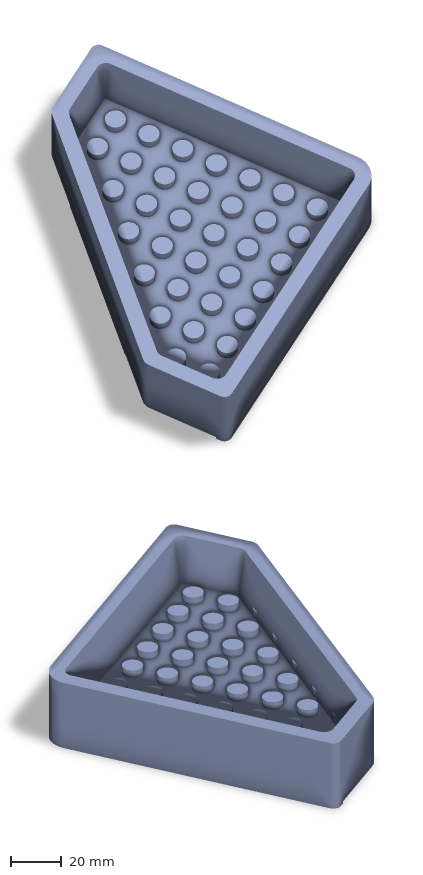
import cadquery as cq
import math

side = 127.0
height = 30.0
cut_leg = 89.9
back_radius = 10.0
tip_radius = 3.3
cut_radius = 5.0

wall = 6.3
floor_height = 9.6
cavity_radius = 3.9
wall_draft = 2.9

pin_diameter = 8.3
pin_height = 3.5
pin_pitch = 15.0
pin_count = 7
buried_diagonal = 8
last_pin = 108.7

recess_depth = 1.0
foot_width = 3.3
recess_radius = back_radius - foot_width
cut_foot_start = 18.5
tip_foot_length = 5.3


def corner_points(inset):
    """Corners of the footprint with every side moved inward by inset."""
    low = inset
    high = side - inset
    cut_end = cut_leg + inset * math.sqrt(2) - inset
    return [(cut_end, low), (high, low), (high, high), (low, high), (low, cut_end)]


def make_body():
    """Solid block with its three kinds of rounded corner."""
    body = cq.Workplane("XY").polyline(corner_points(0)).close().extrude(height)
    body = body.edges("|Z and >(1,1,0)").fillet(back_radius)
    body = body.edges("|Z and (>(1,-1,0) or <(1,-1,0))").fillet(tip_radius)
    return body.edges("|Z and <(1,1,0)").fillet(cut_radius)


def make_cavity():
    """Tapered pocket that narrows from the rim to the floor."""
    depth = height - floor_height
    draft_angle = math.degrees(math.atan2(wall_draft, depth))
    points = corner_points(wall)
    rim = cq.Sketch().polygon(points + points[:1]).vertices().fillet(cavity_radius)
    return cq.Workplane("XY", origin=(0, 0, height)).placeSketch(rim).extrude(-depth, taper=draft_angle)


def make_pins():
    """Triangular grid of pins; the row nearest the cut is partly buried in the wall."""
    centers = []
    for column in range(pin_count):
        for row in range(pin_count):
            if column + row > buried_diagonal:
                continue
            centers.append((last_pin - column * pin_pitch, last_pin - row * pin_pitch))
    pins = cq.Workplane("XY", origin=(0, 0, floor_height)).pushPoints(centers)
    return pins.circle(pin_diameter / 2).extrude(pin_height)


def make_recess():
    """Underside recess, running out through the walls at both ends of the cut."""
    recess = cq.Workplane("XY").polyline(corner_points(foot_width)).close().extrude(recess_depth)
    cut_foot_end = cut_leg - cut_foot_start
    opening_length = side - tip_foot_length - cut_foot_end
    for length, width, x, y in (
        (cut_foot_start, opening_length, 0, cut_foot_end),
        (opening_length, cut_foot_start, cut_foot_end, 0),
    ):
        opening = cq.Workplane("XY").box(length, width, recess_depth, centered=False)
        recess = recess.union(opening.translate((x, y, 0)))
    return recess.edges("|Z and >(1,1,0)").fillet(recess_radius)


result = make_body().cut(make_cavity()).union(make_pins()).cut(make_recess())